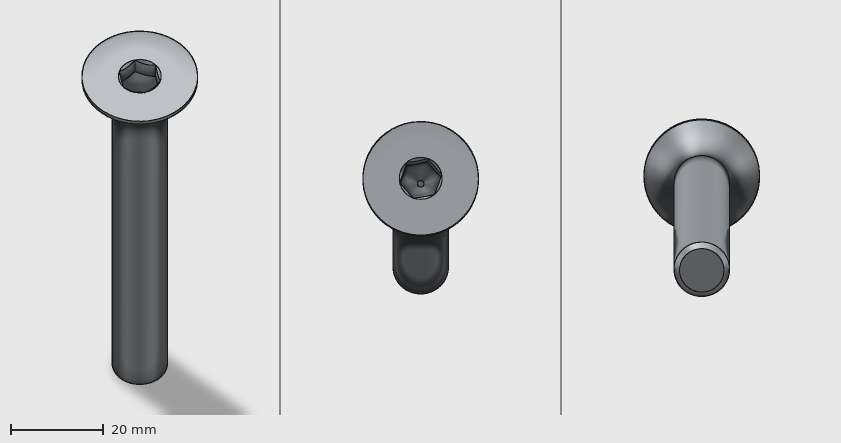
import cadquery as cq
import math

length = 100.0
shank_diameter = 12.0
head_diameter = 25.0
head_rim_height = 1.0
tip_chamfer = 1.2

socket_across_flats = 8.0
socket_depth = 4.0
floor_cone_angle = 120.0
floor_flat_radius = 0.7
mouth_cone_angle = 90.0

shank_radius = shank_diameter / 2
head_radius = head_diameter / 2
socket_across_corners = socket_across_flats / math.cos(math.radians(30))
socket_corner_radius = socket_across_corners / 2
mouth_bottom_radius = socket_across_flats / 2

cone_height = head_radius - shank_radius
head_height = head_rim_height + cone_height


def screw_body():
    profile = [
        (0, -length),
        (shank_radius - tip_chamfer, -length),
        (shank_radius, -length + tip_chamfer),
        (shank_radius, -head_height),
        (head_radius, -head_rim_height),
        (head_radius, 0),
        (0, 0),
    ]
    return cq.Workplane("XZ").polyline(profile).close().revolve(360, (0, 0), (0, 1))


def downward_cone(top_radius, bottom_radius, included_angle, top):
    depth = (top_radius - bottom_radius) / math.tan(math.radians(included_angle / 2))
    profile = [(0, top), (top_radius, top), (bottom_radius, top - depth), (0, top - depth)]
    return cq.Workplane("XZ").polyline(profile).close().revolve(360, (0, 0), (0, 1))


def hex_prism(depth):
    return cq.Workplane("XY").polygon(6, socket_across_corners).extrude(-depth)


def hex_socket():
    floor = downward_cone(socket_corner_radius, floor_flat_radius, floor_cone_angle, -socket_depth)
    floor = floor.intersect(hex_prism(head_height))
    mouth = downward_cone(socket_corner_radius, mouth_bottom_radius, mouth_cone_angle, 0)
    return hex_prism(socket_depth).union(floor).union(mouth)


result = screw_body().cut(hex_socket())